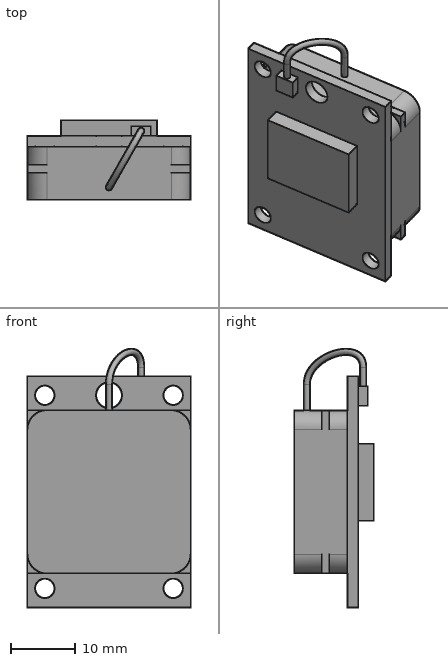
import cadquery as cq

plate_width = 25.5
plate_height = 36.05
plate_thickness = 1.7
mount_hole_diameter = 3.0
mount_hole_edge_distance = 3.0
mount_hole_offset = 10.0
wire_hole_diameter = 4.0

housing_side = 25.4
housing_depth = 8.3
corner_radius = 3.0
rib_thickness = 1.2
rib_distance = 2.82

block_width = 15.0
block_height = 12.0
block_depth = 2.4
block_bottom = 13.5

socket_side = 3.05
socket_depth = 1.5
socket_top = 34.47
socket_x = 5.0

wire_diameter = 1.0
wire_setback = 1.98
housing_leg_length = 4.07
socket_leg_length = 3.0
wire_embed = 0.4
arch_handle = 4.55

plate_mid_height = plate_height / 2
housing_top = plate_mid_height + housing_side / 2
housing_front = -(plate_thickness + housing_depth)


def box(width, height, depth, x_center, z_bottom, y_front):
    """Block with its front face at y_front, running toward +Y."""
    return (
        cq.Workplane("XY")
        .box(width, depth, height, centered=(True, False, False))
        .translate((x_center, y_front, z_bottom))
    )


def make_plate():
    plate = box(plate_width, plate_height, plate_thickness, 0, 0, -plate_thickness)
    top_row = plate_height - mount_hole_edge_distance
    mount_holes = [
        (x, z)
        for x in (-mount_hole_offset, mount_hole_offset)
        for z in (mount_hole_edge_distance, top_row)
    ]
    cutters = cq.Workplane("XZ").pushPoints(mount_holes).circle(mount_hole_diameter / 2)
    plate = plate.cut(cutters.extrude(plate_thickness))
    wire_hole = cq.Workplane("XZ").center(0, top_row).circle(wire_hole_diameter / 2)
    return plate.cut(wire_hole.extrude(plate_thickness))


def make_housing():
    z_bottom = plate_mid_height - housing_side / 2
    rounded = box(housing_side, housing_side, housing_depth, 0, z_bottom, housing_front)
    rounded = rounded.edges("|Y").fillet(corner_radius)
    rib_front = -(plate_thickness + rib_distance + rib_thickness)
    rib = box(housing_side, housing_side, rib_thickness, 0, z_bottom, rib_front)
    return rounded.union(rib)


def make_wire():
    """Two vertical legs joined by a smooth arch."""
    start = cq.Vector(0, housing_front + wire_setback, housing_top - wire_embed)
    end = cq.Vector(socket_x, socket_depth / 2, socket_top - wire_embed)
    arch_start = start + cq.Vector(0, 0, wire_embed + housing_leg_length)
    arch_end = end + cq.Vector(0, 0, wire_embed + socket_leg_length)
    rise = cq.Vector(0, 0, arch_handle)
    arch = cq.Edge.makeBezier([arch_start, arch_start + rise, arch_end + rise, arch_end])
    section = cq.Workplane("XY", origin=arch_start.toTuple()).circle(wire_diameter / 2)
    wire = section.sweep(cq.Workplane(obj=arch), isFrenet=True)
    for seat, leg_top in ((start, arch_start), (end, arch_end)):
        leg = cq.Workplane("XY", origin=seat.toTuple()).circle(wire_diameter / 2)
        wire = wire.union(leg.extrude(leg_top.z - seat.z))
    return wire


block = box(block_width, block_height, block_depth, 0, block_bottom, 0)
socket_bottom = socket_top - socket_side
socket = box(socket_side, socket_side, socket_depth, socket_x, socket_bottom, 0)

result = make_plate().union(make_housing()).union(block).union(socket).union(make_wire())